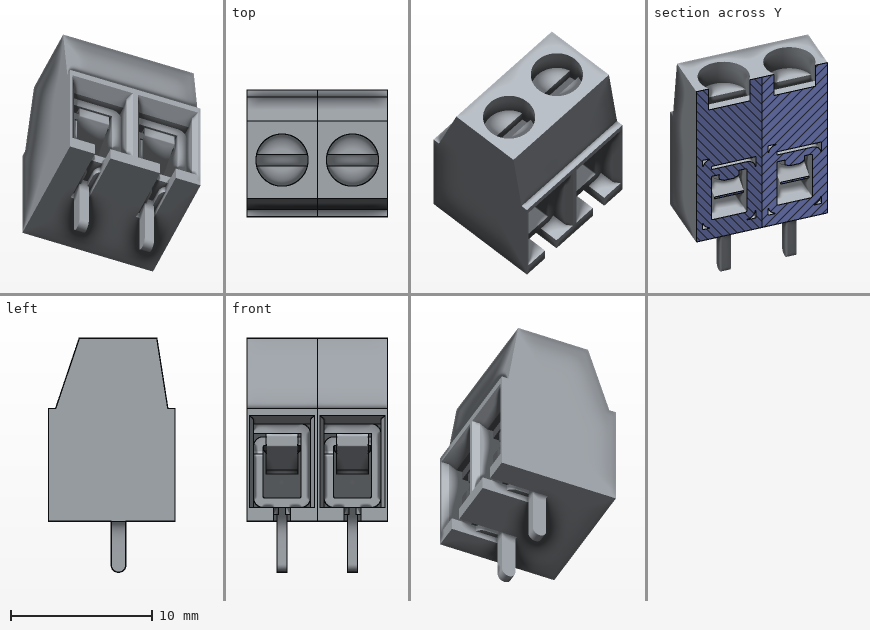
import cadquery as cq
import math


POLE_COUNT = 2
OVERALL_HEIGHT = 16.6
POLE_WIDTH = 5.0
DEPTH = 9.0
SHOULDER_HEIGHT = 8.0
HOUSING_HEIGHT = 12.98
FRONT_SHOULDER = 0.51
BACK_SHOULDER = 0.51
TOP_FRONT_Y = 1.3
TOP_BACK_Y = 6.8

SCREW_Y = 4.02
WELL_DIAMETER = 3.7
WELL_DEPTH = 1.81
DRIVER_SLOT_WIDTH = 0.81
DRIVER_SLOT_DEPTH = 0.8
SHANK_RADIUS = 1.26
SHANK_CHAMFER = 0.2
SHANK_CHAMFER_TOP = 4.98

FLOOR_THICKNESS = 0.98
CHAMBER_WIDTH = 4.03
CHAMBER_HEIGHT = 5.93
MOUTH_WIDTH = 4.61
MOUTH_TOP = 7.5
SIDE_FLARE_DEPTH = 0.46
ROOF_SLOPE_DEPTH = 1.05

CAGE_WALL = 0.68
CAGE_FRONT_Y = 1.51
CAGE_INNER_RADIUS = 0.1
CAGE_OUTER_RADIUS = CAGE_WALL
LAP_THICKNESS = 0.63
LAP_GAP = 0.23
LAP_STEP_Z = 4.58
LAP_STEP_RADIUS = 0.2
LAP_STEP_FLAT = 0.1

LEAF_WIDTH = 2.24
LEAF_THICKNESS = LAP_GAP
LEAF_FRONT_Y = 1.55
LEAF_KINK_RADIUS = 0.1
LEAF_SLOPE = 30
LEAF_CURL_TOP = 3.64
LEAF_CURL_RADIUS = 0.53
LEAF_CURL_TURN = 60

PIN_WIDTH = 0.71
PIN_DEPTH = 1.05
PIN_LENGTH = OVERALL_HEIGHT - HOUSING_HEIGHT
SLOT_WIDTH = 1.2
LIP_GAP = 0.51
LIP_HEIGHT = 0.5
LIP_FRONT_Y = 1.91
LIP_NOSE_TURN = 60

EIGHTH_TURN = math.pi / 4
CHAMBER_TOP = FLOOR_THICKNESS + CHAMBER_HEIGHT
CHAMBER_BACK_Y = 2 * SCREW_Y - CAGE_FRONT_Y
WELL_FLOOR_Z = HOUSING_HEIGHT - WELL_DEPTH
LAP_TOP = CHAMBER_TOP - CAGE_WALL - LAP_GAP
LAP_BOTTOM = LAP_TOP - LAP_THICKNESS
LAP_FRONT_Y = CAGE_FRONT_Y + 2 * LAP_STEP_RADIUS + LAP_STEP_FLAT
PIN_FRONT_Y = SCREW_Y - PIN_DEPTH / 2
PIN_BACK_Y = SCREW_Y + PIN_DEPTH / 2


def box(width, y_start, y_end, z_start, z_end, x_centre=0):
    """Block centred on x_centre, between the given Y and Z limits."""
    size = (width, y_end - y_start, z_end - z_start)
    block = cq.Workplane("XY").box(*size, centered=(True, False, False))
    return block.translate((x_centre, y_start, z_start))


def side_plane(width):
    """YZ sketch plane on the left side of a prism of this width centred on X = 0."""
    return cq.Workplane("YZ", origin=(-width / 2, 0, 0))


def side_profile(points, width):
    """Prism of a closed (y, z) outline, centred on X = 0."""
    return side_plane(width).polyline(points).close().extrude(width)


def arc_offset(radius, turn):
    """Distances travelled along and across the starting direction of an arc that turns by `turn`."""
    return radius * math.sin(turn), radius * (1 - math.cos(turn))


def make_housing():
    """Stepped block with tapered top, screw well, wire entry and floor slot."""
    outline = [
        (0, 0),
        (DEPTH, 0),
        (DEPTH, SHOULDER_HEIGHT),
        (DEPTH - BACK_SHOULDER, SHOULDER_HEIGHT),
        (TOP_BACK_Y, HOUSING_HEIGHT),
        (TOP_FRONT_Y, HOUSING_HEIGHT),
        (FRONT_SHOULDER, SHOULDER_HEIGHT),
        (0, SHOULDER_HEIGHT),
    ]
    housing = side_profile(outline, POLE_WIDTH)
    return housing.cut(make_screw_well()).cut(make_wire_entry()).cut(make_floor_slot())


def make_screw_well():
    """Round well with the screw's driver slot across its floor."""
    well = cq.Workplane("XY", origin=(0, SCREW_Y, WELL_FLOOR_Z)).circle(WELL_DIAMETER / 2).extrude(WELL_DEPTH)
    below = cq.Workplane("XY", origin=(0, SCREW_Y, WELL_FLOOR_Z - DRIVER_SLOT_DEPTH))
    disc = below.circle(WELL_DIAMETER / 2).extrude(DRIVER_SLOT_DEPTH)
    bar = below.rect(WELL_DIAMETER, DRIVER_SLOT_WIDTH).extrude(DRIVER_SLOT_DEPTH)
    return well.union(disc.intersect(bar))


def make_wire_entry():
    """Chamber with flared side walls and a sloping roof at its mouth."""
    plan = [
        (-MOUTH_WIDTH / 2, 0),
        (MOUTH_WIDTH / 2, 0),
        (CHAMBER_WIDTH / 2, SIDE_FLARE_DEPTH),
        (CHAMBER_WIDTH / 2, CHAMBER_BACK_Y),
        (-CHAMBER_WIDTH / 2, CHAMBER_BACK_Y),
        (-CHAMBER_WIDTH / 2, SIDE_FLARE_DEPTH),
    ]
    height = MOUTH_TOP - FLOOR_THICKNESS
    entry = cq.Workplane("XY", origin=(0, 0, FLOOR_THICKNESS)).polyline(plan).close().extrude(height)
    section = [
        (0, FLOOR_THICKNESS),
        (CHAMBER_BACK_Y, FLOOR_THICKNESS),
        (CHAMBER_BACK_Y, CHAMBER_TOP),
        (ROOF_SLOPE_DEPTH, CHAMBER_TOP),
        (0, MOUTH_TOP),
    ]
    return entry.intersect(side_profile(section, MOUTH_WIDTH))


def make_floor_slot():
    """Slot through the floor from the front to the pin, narrowed at its top by two rounded lips."""
    slot = box(SLOT_WIDTH, 0, PIN_BACK_Y, 0, FLOOR_THICKNESS)
    lip_width = (SLOT_WIDTH - LIP_GAP) / 2
    nose_turn = math.radians(LIP_NOSE_TURN)
    nose_radius = lip_width / (1 - math.cos(nose_turn))
    nose_length = nose_radius * math.sin(nose_turn)
    middle = arc_offset(nose_radius, nose_turn / 2)
    nose_end_y = LIP_FRONT_Y + nose_length
    for side in (-1, 1):
        gap_x = side * LIP_GAP / 2
        wall_x = side * SLOT_WIDTH / 2
        lip = (
            cq.Workplane("XY", origin=(0, 0, FLOOR_THICKNESS - LIP_HEIGHT))
            .moveTo(wall_x, LIP_FRONT_Y)
            .threePointArc((gap_x + side * middle[1], nose_end_y - middle[0]), (gap_x, nose_end_y))
            .lineTo(gap_x, PIN_BACK_Y)
            .lineTo(wall_x, PIN_BACK_Y)
            .close()
            .extrude(LIP_HEIGHT)
        )
        slot = slot.cut(lip)
    return slot


def make_cage():
    """Box-shaped spiral strip, open at its upper left, with the lap set back from the front edge."""
    hole_width = CHAMBER_WIDTH - 2 * CAGE_WALL
    hole_right = hole_width / 2
    cage = box(CHAMBER_WIDTH, CAGE_FRONT_Y, CHAMBER_BACK_Y, FLOOR_THICKNESS, CHAMBER_TOP)
    cage = cage.edges("|Y").edges(">X or <Z").fillet(CAGE_OUTER_RADIUS)

    hole = box(hole_width, CAGE_FRONT_Y, CHAMBER_BACK_Y, FLOOR_THICKNESS + CAGE_WALL, LAP_BOTTOM)
    cage = cage.cut(hole.edges("|Y").fillet(CAGE_INNER_RADIUS))

    open_width = hole_right + CHAMBER_WIDTH / 2
    open_x = (hole_right - CHAMBER_WIDTH / 2) / 2
    cage = cage.cut(box(open_width, CAGE_FRONT_Y, CHAMBER_BACK_Y, LAP_TOP, LAP_TOP + LAP_GAP, open_x))
    lap_corner = cq.NearestToPointSelector((-CHAMBER_WIDTH / 2, (CAGE_FRONT_Y + CHAMBER_BACK_Y) / 2, LAP_TOP))
    cage = cage.edges("|Y").edges(lap_corner).fillet(CAGE_OUTER_RADIUS)
    return cage.cut(make_lap_step(open_width).translate((open_x, 0, 0)))


def make_lap_step(width):
    """Space in front of the lap, with an S-shaped underside of two quarter rounds and a flat."""
    lower_end_y = CAGE_FRONT_Y + LAP_STEP_RADIUS
    upper_start_y = lower_end_y + LAP_STEP_FLAT
    middle_z = LAP_STEP_Z + LAP_STEP_RADIUS
    bulge = arc_offset(LAP_STEP_RADIUS, EIGHTH_TURN)[0]
    upper_end_z = middle_z + LAP_STEP_RADIUS
    return (
        side_plane(width)
        .moveTo(CAGE_FRONT_Y, LAP_STEP_Z)
        .threePointArc((lower_end_y - bulge, LAP_STEP_Z + bulge), (lower_end_y, middle_z))
        .lineTo(upper_start_y, middle_z)
        .threePointArc((upper_start_y + bulge, upper_end_z - bulge), (LAP_FRONT_Y, upper_end_z))
        .lineTo(LAP_FRONT_Y, LAP_TOP)
        .lineTo(CAGE_FRONT_Y, LAP_TOP)
        .close()
        .extrude(width)
    )


def make_shank():
    """Screw shank from its chamfered tip up into the lap."""
    tip_z = SHANK_CHAMFER_TOP - SHANK_CHAMFER
    length = LAP_TOP - tip_z
    shank = cq.Workplane("XY", origin=(0, SCREW_Y, tip_z)).circle(SHANK_RADIUS).extrude(length)
    return shank.faces("<Z").chamfer(SHANK_CHAMFER)


def make_leaf():
    """Sheet lying in the lap gap, bent down in front of the lap, then sloping back to a curled end."""
    slope = math.radians(LEAF_SLOPE)
    inner_y = LEAF_FRONT_Y + LEAF_THICKNESS
    bend = arc_offset(LEAF_THICKNESS, EIGHTH_TURN)[0]

    kink_turn = math.pi / 2 - slope
    kink_middle = arc_offset(LEAF_KINK_RADIUS, kink_turn / 2)
    kink_end = arc_offset(LEAF_KINK_RADIUS, kink_turn)
    slope_y = LEAF_FRONT_Y + kink_end[1]
    slope_z = LAP_BOTTOM - kink_end[0]

    curl_y = slope_y + (slope_z - LEAF_CURL_TOP) / math.tan(slope)
    curl_middle = arc_offset(LEAF_CURL_RADIUS, math.radians(LEAF_CURL_TURN / 2))
    curl_end = arc_offset(LEAF_CURL_RADIUS, math.radians(LEAF_CURL_TURN))
    tip_y = curl_y + curl_end[0]
    tip_z = LEAF_CURL_TOP - curl_end[1]

    back_y = tip_y + LEAF_THICKNESS
    rise = LEAF_THICKNESS / math.cos(slope)
    back_z = slope_z + rise - (back_y - slope_y) * math.tan(slope)
    inner_z = slope_z + rise - (inner_y - slope_y) * math.tan(slope)

    return (
        side_plane(LEAF_WIDTH)
        .moveTo(SCREW_Y, LAP_TOP + LEAF_THICKNESS)
        .lineTo(inner_y, LAP_TOP + LEAF_THICKNESS)
        .threePointArc((inner_y - bend, LAP_TOP + bend), (LEAF_FRONT_Y, LAP_TOP))
        .lineTo(LEAF_FRONT_Y, LAP_BOTTOM)
        .threePointArc((LEAF_FRONT_Y + kink_middle[1], LAP_BOTTOM - kink_middle[0]), (slope_y, slope_z))
        .lineTo(curl_y, LEAF_CURL_TOP)
        .threePointArc((curl_y + curl_middle[0], LEAF_CURL_TOP - curl_middle[1]), (tip_y, tip_z))
        .lineTo(back_y, tip_z)
        .lineTo(back_y, back_z)
        .lineTo(inner_y, inner_z)
        .lineTo(inner_y, LAP_TOP)
        .lineTo(SCREW_Y, LAP_TOP)
        .close()
        .extrude(LEAF_WIDTH)
    )


def make_pin():
    """Flat pin with a round end, rooted in the bottom wall of the cage."""
    tip_centre_z = PIN_DEPTH / 2 - PIN_LENGTH
    root_z = FLOOR_THICKNESS + CAGE_WALL / 2
    pin = box(PIN_WIDTH, PIN_FRONT_Y, PIN_BACK_Y, tip_centre_z, root_z)
    tip = side_plane(PIN_WIDTH).center(SCREW_Y, tip_centre_z).circle(PIN_DEPTH / 2).extrude(PIN_WIDTH)
    return pin.union(tip)


def make_pole():
    """One complete pole as a single solid, centred on X = 0."""
    pole = make_housing()
    for part in (make_cage(), make_shank(), make_leaf(), make_pin()):
        pole = pole.union(part)
    return pole


poles = []
for index in range(POLE_COUNT):
    pole_x = (index - (POLE_COUNT - 1) / 2) * POLE_WIDTH
    poles.append(make_pole().translate((pole_x, 0, 0)))

result = cq.Compound.makeCompound([pole.val() for pole in poles])